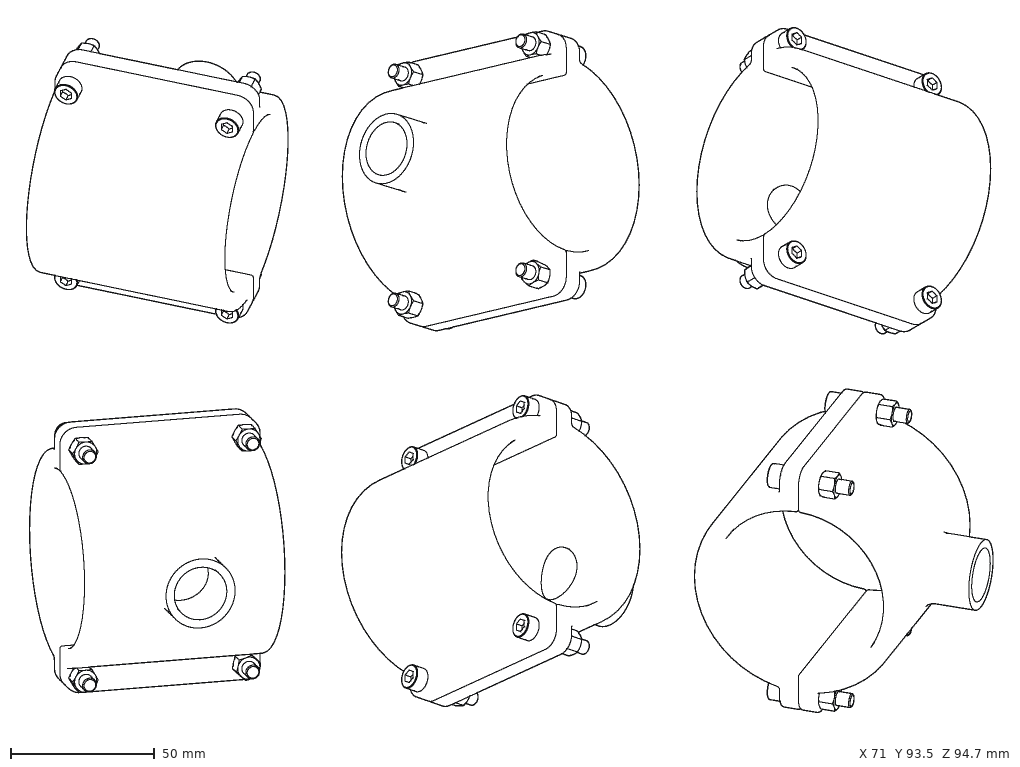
import cadquery as cq
import math

length = 71.0
bore_radius = 31.5
ring_radius = 38.5
flange_thickness = 7.0
overall_height = 94.72
flange_corner_radius = 6.0
edge_fillet = 1.0
root_fillet = 1.0

port_diameter = 25.0
port_bore_diameter = 19.0
port_end = 55.0
port_fillet = 4.0

screw_diameter = 5.0
screw_length = 25.0
screw_tip_diameter = 4.2
clearance_diameter = 5.5
head_diameter = 8.5
head_height = 5.0
head_chamfer = 0.25
socket_across_flats = 4.1
socket_depth = 2.5
socket_cone_angle = 30.0

nut_across_flats = 8.0
nut_height = 5.7
nut_chamfer_angle = 30.0
turned_nut_angle = 17.0

flange_top = overall_height / 2
screw_x = length / 2 - flange_corner_radius
screw_z = flange_top - flange_corner_radius
screw_places = [(x, z) for x in (-screw_x, screw_x) for z in (-screw_z, screw_z)]

nut_turns = {place: 0 for place in screw_places}
nut_turns[(-screw_x, -screw_z)] = turned_nut_angle


def hexagon_corner_diameter(across_flats):
    return across_flats / math.cos(math.pi / 6)


def workplane_facing_y(y):
    """Plane at the given Y: local X is -X, local Y is Z, and extrusion runs toward +Y."""
    return cq.Workplane("XZ", origin=(0, y, 0)).transformed(rotate=(0, 180, 0))


def clamp_half():
    """Half ring on the +Y side, with a bolting flange above and below and rounded edges."""
    root_z = math.sqrt(ring_radius**2 - flange_thickness**2)
    half = (
        cq.Workplane("YZ", origin=(-length / 2, 0, 0))
        .moveTo(0, bore_radius)
        .lineTo(0, flange_top)
        .lineTo(flange_thickness, flange_top)
        .lineTo(flange_thickness, root_z)
        .threePointArc((ring_radius, 0), (flange_thickness, -root_z))
        .lineTo(flange_thickness, -flange_top)
        .lineTo(0, -flange_top)
        .lineTo(0, -bore_radius)
        .threePointArc((bore_radius, 0), (0, bore_radius))
        .close()
        .extrude(length)
    )
    half = half.edges("|Y and (>Z or <Z)").fillet(flange_corner_radius)
    for z in (-root_z, root_z):
        half = half.edges(cq.NearestToPointSelector((0, flange_thickness, z))).fillet(root_fillet)
    parting_edges = half.faces("<Y").edges("|X")
    outer_edges = half.edges("(not (|X or |Y)) or (|X and (>Z or <Z))")
    half = outer_edges.add(parting_edges).fillet(edge_fillet)
    holes = workplane_facing_y(0).pushPoints(screw_places).circle(clearance_diameter / 2)
    return half.cut(holes.extrude(flange_thickness))


def add_port(half):
    """Hollow spigot along +Y, blended into the ring and open to its bore."""
    start = (bore_radius + ring_radius) / 2
    spigot = workplane_facing_y(start).circle(port_diameter / 2).extrude(port_end - start)
    blend = cq.selectors.BoxSelector(
        (-port_diameter, start, -port_diameter), (port_diameter, ring_radius, port_diameter)
    )
    half = half.union(spigot).edges(blend).edges("not #Z").fillet(port_fillet)
    port_bore = workplane_facing_y(0).circle(port_bore_diameter / 2).extrude(port_end)
    return half.cut(port_bore)


def head_blank(x, z):
    """Plain cylinder of a screw head, resting on the -Y flange."""
    head_y = -flange_thickness - head_height
    return workplane_facing_y(head_y).circle(head_diameter / 2).extrude(head_height).translate((x, 0, z))


def nut_blank(x, z):
    """Plain hexagonal prism of a nut, resting on the +Y flange."""
    corner_diameter = hexagon_corner_diameter(nut_across_flats)
    prism = workplane_facing_y(flange_thickness).polygon(6, corner_diameter).extrude(nut_height)
    return prism.rotate((0, 0, 0), (0, 1, 0), nut_turns[(x, z)]).translate((x, 0, z))


def cut_recesses(half, blank):
    """Relieve the ring and its root fillets where the heads or nuts would run into them."""
    for x, z in screw_places:
        half = half.cut(blank(x, z))
    return half


def screw(x, z):
    """Socket head screw with its head seated on the -Y flange."""
    seat_y = -flange_thickness
    head_y = seat_y - head_height
    tip_chamfer = (screw_diameter - screw_tip_diameter) / 2
    head = head_blank(x, z).faces("<Y").chamfer(head_chamfer)
    shank = workplane_facing_y(seat_y).circle(screw_diameter / 2).extrude(screw_length)
    shank = shank.faces(">Y").chamfer(tip_chamfer)
    corner_radius = hexagon_corner_diameter(socket_across_flats) / 2
    cone_depth = corner_radius * math.tan(math.radians(socket_cone_angle))
    hexagon = (
        workplane_facing_y(head_y)
        .transformed(rotate=(0, 0, 90))
        .polygon(6, 2 * corner_radius)
        .extrude(socket_depth + cone_depth)
    )
    drill = (
        cq.Workplane("XY", origin=(0, head_y, 0))
        .lineTo(corner_radius, 0)
        .lineTo(corner_radius, socket_depth)
        .lineTo(0, socket_depth + cone_depth)
        .close()
        .revolve(360, (0, 0, 0), (0, 1, 0))
    )
    socket = hexagon.intersect(drill).translate((x, 0, z))
    return head.union(shank.translate((x, 0, z))).cut(socket)


def nut(x, z):
    """Hexagon nut seated on the +Y flange, its corners chamfered at both ends."""
    corner_radius = hexagon_corner_diameter(nut_across_flats) / 2
    flat_radius = nut_across_flats / 2
    chamfer_depth = (corner_radius - flat_radius) * math.tan(math.radians(nut_chamfer_angle))
    envelope = (
        cq.Workplane("XY", origin=(0, flange_thickness, 0))
        .lineTo(flat_radius, 0)
        .lineTo(corner_radius, chamfer_depth)
        .lineTo(corner_radius, nut_height - chamfer_depth)
        .lineTo(flat_radius, nut_height)
        .lineTo(0, nut_height)
        .close()
        .revolve(360, (0, 0, 0), (0, 1, 0))
    )
    thread = workplane_facing_y(flange_thickness).circle(screw_diameter / 2).extrude(nut_height)
    chamfered_ring = envelope.cut(thread).translate((x, 0, z))
    return nut_blank(x, z).intersect(chamfered_ring)


plain_half = cut_recesses(clamp_half().rotate((0, 0, 0), (0, 0, 1), 180), head_blank)
port_half = cut_recesses(add_port(clamp_half()), nut_blank)
screws = [screw(x, z).val() for x, z in screw_places]
nuts = [nut(x, z).val() for x, z in screw_places]

result = cq.Compound.makeCompound([plain_half.val(), port_half.val(), *screws, *nuts])